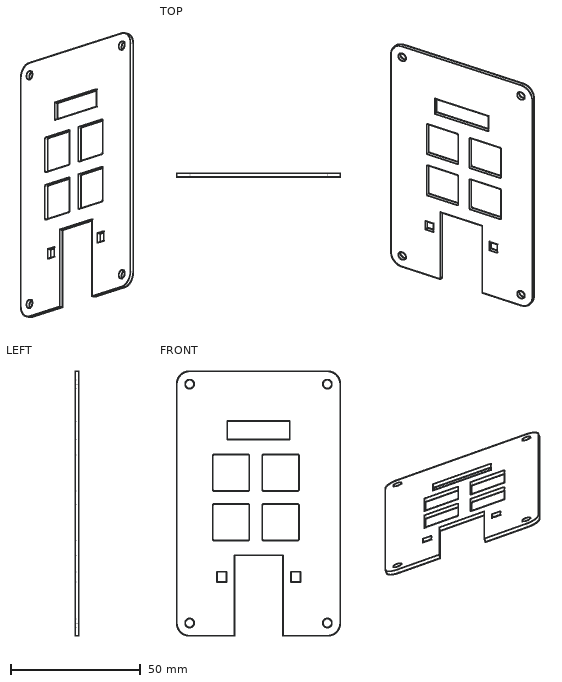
import cadquery as cq

plate_width = 63.0
plate_thickness = 1.5
plate_height = 102.0
corner_radius = 5.0

hole_diameter = 3.4
hole_spacing_x = plate_width - 2 * corner_radius
hole_spacing_z = plate_height - 2 * corner_radius

window_width = 24.0
window_height = 7.0
window_center_z = 28.3

key_size = 14.0
key_pitch = 19.1
key_corner_radius = 0.4
key_grid_center_x = -1.0
key_grid_center_z = 2.3

notch_width = 18.6
notch_depth = 31.0
notch_center_x = 0.1

side_opening_width = 3.6
side_opening_height = 3.9
side_opening_spacing = 28.5
side_opening_center_z = -28.3


def block(width, height, center_x=0, center_z=0):
    """Box through the full plate thickness, centred on the plate's mid-plane."""
    return cq.Workplane("XY").box(width, plate_thickness, height).translate((center_x, 0, center_z))


def make_plate():
    return block(plate_width, plate_height).edges("|Y").fillet(corner_radius)


def make_mounting_holes():
    return (
        cq.Workplane("XZ")
        .rect(hole_spacing_x, hole_spacing_z, forConstruction=True)
        .vertices()
        .circle(hole_diameter / 2)
        .extrude(plate_thickness / 2, both=True)
    )


def make_key_opening(center_x, center_z):
    return block(key_size, key_size, center_x, center_z).edges("|Y").fillet(key_corner_radius)


def make_notch():
    center_z = (notch_depth - plate_height) / 2
    return block(notch_width, notch_depth, notch_center_x, center_z)


result = make_plate().cut(make_mounting_holes())
result = result.cut(block(window_width, window_height, center_z=window_center_z))
result = result.cut(make_notch())

for side_x in (-1, 1):
    for side_z in (-1, 1):
        key_x = key_grid_center_x + side_x * key_pitch / 2
        key_z = key_grid_center_z + side_z * key_pitch / 2
        result = result.cut(make_key_opening(key_x, key_z))

    opening_x = notch_center_x + side_x * side_opening_spacing / 2
    result = result.cut(
        block(side_opening_width, side_opening_height, opening_x, side_opening_center_z)
    )